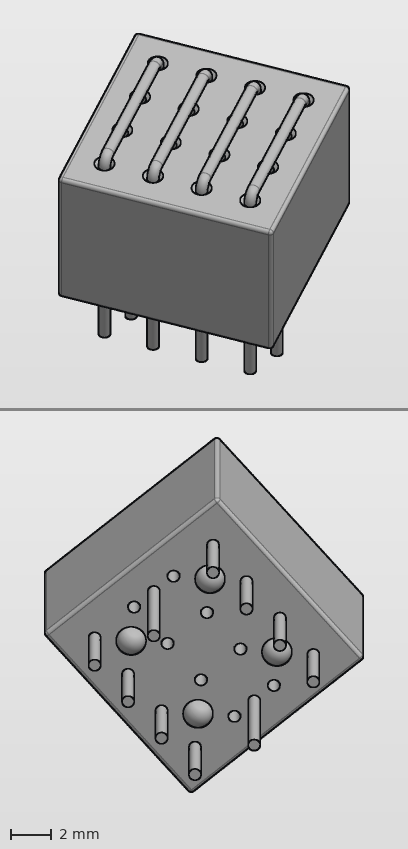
import cadquery as cq

TOTAL_HEIGHT = 14.25
HOUSING_SIDE = 11.2
HOUSING_HEIGHT = 8.0
EDGE_RADIUS = 0.2

PITCH = 2.54
GRID_COUNT = 4
COUNTERSINK_DIAMETER = 1.0
COUNTERSINK_ANGLE = 90

WIRE_DIAMETER = 0.6
WIRE_BEND_RADIUS = 0.5
WIRE_LEG_DROP = 3.49

FOOT_RADIUS = 0.74
FOOT_HEIGHT = 0.65

grid_positions = [(i - (GRID_COUNT - 1) / 2) * PITCH for i in range(GRID_COUNT)]
grid_edge = grid_positions[-1]
wire_radius = WIRE_DIAMETER / 2
bridge_height = HOUSING_HEIGHT + wire_radius
pin_length = TOTAL_HEIGHT - HOUSING_HEIGHT - WIRE_DIAMETER


def make_housing():
    """Rounded block with a grid of countersunk holes on top and four feet below."""
    block = (
        cq.Workplane("XY")
        .box(HOUSING_SIDE, HOUSING_SIDE, HOUSING_HEIGHT, centered=(True, True, False))
        .edges()
        .fillet(EDGE_RADIUS)
    )
    drilled = (
        block.faces(">Z")
        .workplane()
        .rarray(PITCH, PITCH, GRID_COUNT, GRID_COUNT)
        .cskHole(WIRE_DIAMETER, COUNTERSINK_DIAMETER, COUNTERSINK_ANGLE)
    )
    feet = (
        cq.Workplane("XY", origin=(0, 0, FOOT_RADIUS - FOOT_HEIGHT))
        .rarray(2 * PITCH, 2 * PITCH, 2, 2)
        .sphere(FOOT_RADIUS)
    )
    return drilled.union(feet)


def make_wire(x):
    """U-shaped wire that bridges the top face along Y and drops through two holes."""
    bend_start = bridge_height - WIRE_BEND_RADIUS
    bridge_end = grid_edge - WIRE_BEND_RADIUS
    path = (
        cq.Workplane("YZ", origin=(x, 0, 0))
        .moveTo(-grid_edge, -WIRE_LEG_DROP)
        .lineTo(-grid_edge, bend_start)
        .tangentArcPoint((-bridge_end, bridge_height), relative=False)
        .lineTo(bridge_end, bridge_height)
        .tangentArcPoint((grid_edge, bend_start), relative=False)
        .lineTo(grid_edge, -WIRE_LEG_DROP)
    )
    section = cq.Workplane("XY", origin=(x, -grid_edge, -WIRE_LEG_DROP)).circle(wire_radius)
    return section.sweep(path)


def make_pin(x):
    """Straight long pin hanging from the housing floor, midway along Y."""
    return cq.Workplane("XY", origin=(x, 0, 0)).circle(wire_radius).extrude(-pin_length)


housing = make_housing()
wires = [make_wire(x) for x in grid_positions]
pins = [make_pin(x) for x in (-grid_edge, grid_edge)]

result = cq.Compound.makeCompound(
    [housing.val(), *[wire.val() for wire in wires], *[pin.val() for pin in pins]]
)